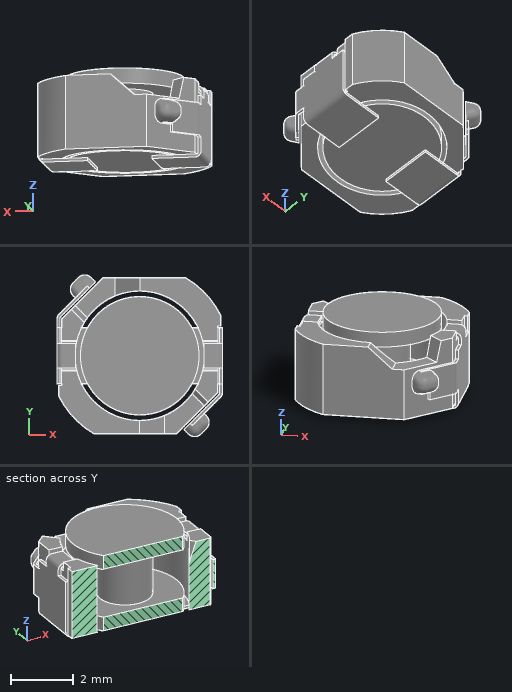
import cadquery as cq
import math


sheet = 0.10
terminal_face = 2.65
terminal_half_width = 0.90
bend_outer_radius = 0.20
bend_inner_radius = bend_outer_radius - sheet

ring_bottom = sheet
ring_top = 2.50
ring_half_depth = 2.50
ring_half_width = 2.60
ring_corner_radius = 2.90
chamfer_distance = 2.60
bore_radius = 2.07
seat_half_width = 2.50
seat_end = 0.95

notch_floor = 1.80
notch_ramp_length = 0.79
notch_end_bottom = 0.325
notch_end_top = 0.50

slot_floor = 2.18
slot_half_width_top = 0.495
slot_half_width_floor = 0.45

core_bottom = sheet
core_top = 2.80
flange_radius = 1.90
flange_thickness = 0.50
post_radius = 0.90

foot_inner_end = 1.05
shoulder_height = 2.00
tab_top = 2.40
tab_half_width = 0.40
tab_inner_end = 2.05

arm_bottom = 0.65
arm_top = 1.70
arm_inner_distance = 2.67
arm_outer_distance = arm_inner_distance + sheet
arm_end = 0.05

bead_start = -0.15
bead_end = 0.67
bead_bottom = 0.90
bead_projection = 0.49
bead_draft = 17.0
bead_radius = 0.28

across_chamfer = cq.Plane(origin=(0, 0, 0), xDir=(-1, 1, 0), normal=(1, 1, 0))
along_chamfer = cq.Plane(origin=(0, 0, 0), xDir=(1, 1, 0), normal=(1, -1, 0))


def half_turn(body):
    return body.rotate((0, 0, 0), (0, 0, 1), 180)


def corner_point(outward, along):
    """XY point at the -X +Y corner, from its distances across and along the chamfer."""
    return ((along - outward) / math.sqrt(2), (along + outward) / math.sqrt(2))


def box_between(low, high):
    size = [b - a for a, b in zip(low, high)]
    return cq.Workplane("XY").box(*size, centered=False).translate(low)


def ring_blank():
    arc_side_y = math.sqrt(ring_corner_radius**2 - ring_half_width**2)
    arc_face_x = math.sqrt(ring_corner_radius**2 - ring_half_depth**2)
    arc_middle = ring_corner_radius / math.sqrt(2)
    chamfer_sum = chamfer_distance * math.sqrt(2)
    chamfer_face_x = chamfer_sum - ring_half_depth
    chamfer_seat_y = chamfer_sum - seat_half_width
    outline = cq.Workplane("XY").workplane(offset=ring_bottom).moveTo(-seat_half_width, -seat_end)
    for side in (1, -1):
        outline = (
            outline.lineTo(-side * ring_half_width, -side * seat_end)
            .lineTo(-side * ring_half_width, -side * arc_side_y)
            .threePointArc(
                (-side * arc_middle, -side * arc_middle),
                (-side * arc_face_x, -side * ring_half_depth),
            )
            .lineTo(side * chamfer_face_x, -side * ring_half_depth)
            .lineTo(side * seat_half_width, -side * chamfer_seat_y)
        )
        if side == 1:
            outline = outline.lineTo(seat_half_width, seat_end)
    height = ring_top - ring_bottom
    bore = cq.Workplane("XY").workplane(offset=ring_bottom).circle(bore_radius).extrude(height)
    return outline.close().extrude(height).cut(bore)


def wire_notch():
    """Notch from the -Y face round to the +X -Y chamfer, with both sides sloped."""
    reach = 2 * ring_half_width
    ramp_side = (
        cq.Workplane("XZ")
        .polyline([
            (0, ring_top),
            (notch_ramp_length, notch_floor),
            (reach, notch_floor),
            (reach, ring_top),
        ])
        .close()
        .extrude(reach)
    )
    end_side = (
        cq.Workplane(along_chamfer)
        .polyline([
            (-reach, notch_floor),
            (notch_end_bottom, notch_floor),
            (notch_end_top, ring_top),
            (-reach, ring_top),
        ])
        .close()
        .extrude(reach)
    )
    return ramp_side.intersect(end_side)


def tab_slots():
    """Tapered slots through both ring walls, as one bar along X."""
    return (
        cq.Workplane("YZ")
        .polyline([
            (-slot_half_width_floor, slot_floor),
            (slot_half_width_floor, slot_floor),
            (slot_half_width_top, ring_top),
            (-slot_half_width_top, ring_top),
        ])
        .close()
        .extrude(ring_half_width, both=True)
    )


notch = wire_notch()
shield_ring = ring_blank().cut(notch).cut(half_turn(notch)).cut(tab_slots())


def make_drum_core():
    lower_flange_top = core_bottom + flange_thickness
    upper_flange_bottom = core_top - flange_thickness
    return (
        cq.Workplane("XZ")
        .polyline([
            (0, core_bottom),
            (flange_radius, core_bottom),
            (flange_radius, lower_flange_top),
            (post_radius, lower_flange_top),
            (post_radius, upper_flange_bottom),
            (flange_radius, upper_flange_bottom),
            (flange_radius, core_top),
            (0, core_top),
        ])
        .close()
        .revolve(360, (0, 0, 0), (0, 1, 0))
    )


drum_core = make_drum_core()


def terminal_clip():
    """Foot, wall and tab of the -X terminal, bent from one strip."""
    wall_inner = terminal_face - sheet
    foot_inner_radius = wall_inner - seat_half_width
    strip = (
        cq.Workplane("XZ")
        .polyline([
            (-foot_inner_end, 0),
            (-terminal_face, 0),
            (-terminal_face, tab_top),
            (-tab_inner_end, tab_top),
            (-tab_inner_end, tab_top - sheet),
            (-wall_inner, tab_top - sheet),
            (-wall_inner, sheet),
            (-foot_inner_end, sheet),
        ])
        .close()
        .extrude(terminal_half_width, both=True)
    )
    foot_bend = cq.selectors.NearestToPointSelector((-wall_inner, 0, sheet))
    tab_bend = cq.selectors.NearestToPointSelector((-wall_inner, 0, tab_top - sheet))
    strip = (
        strip.edges("|Y and <X").fillet(bend_outer_radius)
        .edges(tab_bend).fillet(bend_inner_radius)
        .edges(foot_bend).fillet(foot_inner_radius)
    )
    for side in (1, -1):
        y_low, y_high = sorted((side * tab_half_width, side * terminal_half_width))
        beside_tab = box_between((-terminal_face, y_low, shoulder_height), (0, y_high, tab_top))
        strip = strip.cut(beside_tab)
    return strip


def terminal_arm():
    """Strip from the side of the wall, bent 45 degrees to follow the chamfer."""
    wall_inner = terminal_face - sheet
    outer_bend = (-terminal_face, arm_outer_distance * math.sqrt(2) - terminal_face)
    inner_bend = (-wall_inner, arm_inner_distance * math.sqrt(2) - wall_inner)
    arm = (
        cq.Workplane("XY")
        .workplane(offset=arm_bottom)
        .polyline([
            (-terminal_face, terminal_half_width),
            outer_bend,
            corner_point(arm_outer_distance, arm_end),
            corner_point(arm_inner_distance, arm_end),
            inner_bend,
            (-wall_inner, terminal_half_width),
        ])
        .close()
        .extrude(arm_top - arm_bottom)
    )
    middle_height = (arm_bottom + arm_top) / 2
    outer_edge = cq.selectors.NearestToPointSelector((*outer_bend, middle_height))
    inner_edge = cq.selectors.NearestToPointSelector((*inner_bend, middle_height))
    return arm.edges(outer_edge).fillet(bend_outer_radius).edges(inner_edge).fillet(bend_inner_radius)


def bead_tongue():
    """Upper part of the arm, continued under the bead."""
    return (
        cq.Workplane(across_chamfer)
        .workplane(offset=arm_end)
        .moveTo(arm_inner_distance, bead_bottom)
        .lineTo(arm_outer_distance, bead_bottom)
        .lineTo(arm_outer_distance, arm_top)
        .lineTo(arm_inner_distance, arm_top)
        .close()
        .extrude(bead_end - bead_radius - arm_end)
    )


def weld_bead():
    """Rounded bead whose flat base is flush with the arm's inner face."""
    draft_drop = bead_projection * math.tan(math.radians(bead_draft))
    bead_outer = arm_inner_distance + bead_projection
    block = (
        cq.Workplane(across_chamfer)
        .workplane(offset=bead_start)
        .moveTo(arm_inner_distance, bead_bottom)
        .lineTo(bead_outer, bead_bottom + draft_drop)
        .lineTo(bead_outer, arm_top - draft_drop)
        .lineTo(arm_inner_distance, arm_top)
        .close()
        .extrude(bead_end - bead_start)
    )
    base_edges = block.faces(cq.selectors.DirectionMinMaxSelector(cq.Vector(1, -1, 0))).edges().vals()
    free_edges = [e for e in block.edges().vals() if not any(e.isSame(base) for base in base_edges)]
    return block.newObject(free_edges).fillet(bead_radius)


terminal = terminal_clip().union(terminal_arm()).union(bead_tongue()).union(weld_bead())
terminals = [terminal, half_turn(terminal)]

result = cq.Compound.makeCompound(
    [shield_ring.val(), drum_core.val(), *[one.val() for one in terminals]]
)